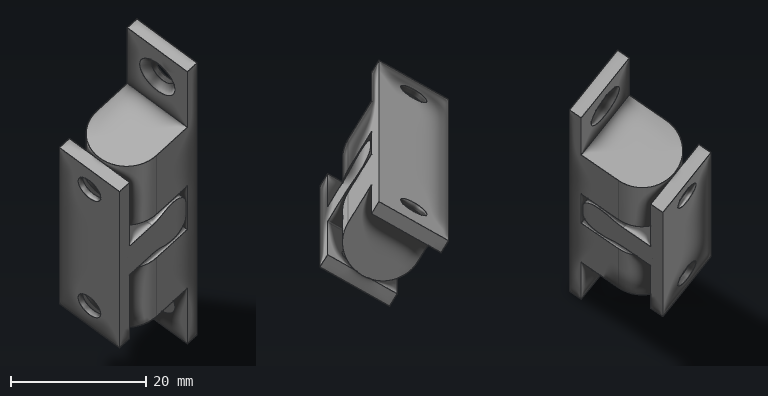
import cadquery as cq
import math

width = 12.0
overall_length = 70.0
overall_depth = 17.2

base_thickness = 2.2
block_front_depth = 15.0
block_inner_height = 5.6
block_outer_height = 20.7
block_round_radius = width / 2
round_center_depth = block_front_depth - block_round_radius

dome_radius = 3.65
dome_rim_radius = 3.15
dome_center_height = block_inner_height + math.sqrt(dome_radius**2 - dome_rim_radius**2)

hole_diameter = 4.5
countersink_diameter = 7.0
countersink_angle = 90.0
base_hole_height = 28.0
strike_hole_height = 15.0

strike_length = 40.2
strike_thickness = overall_depth - block_front_depth
tongue_tip_depth = 2.5
tongue_half_height = 4.725
tongue_corner_radius = 2.9
neck_half_height = 3.675
neck_start_depth = 9.95
root_fillet = 0.2
corner_center_depth = tongue_tip_depth + tongue_corner_radius
corner_center_height = tongue_half_height - tongue_corner_radius


def plate(length, thickness, back_depth):
    """Upright rectangular plate whose back face lies at back_depth."""
    return cq.Workplane("XY").box(width, thickness, length).translate((0, -back_depth - thickness / 2, 0))


def upper_block():
    """Block of constant plan section with a half-round front."""
    half_width = width / 2
    return (
        cq.Workplane("XY")
        .workplane(offset=block_inner_height)
        .moveTo(-half_width, -base_thickness)
        .lineTo(-half_width, -round_center_depth)
        .threePointArc((0, -block_front_depth), (half_width, -round_center_depth))
        .lineTo(half_width, -base_thickness)
        .close()
        .extrude(block_outer_height - block_inner_height)
    )


def dome_sphere(side):
    """Sphere whose exposed cap forms the dome of the upper (1) or lower (-1) block."""
    return cq.Workplane("XY").sphere(dome_radius).translate((0, -round_center_depth, side * dome_center_height))


def front_holes(face_depth, height):
    """Workplane on a front face, with points at both hole centers."""
    return (
        cq.Workplane("XZ", origin=(0, -face_depth, 0))
        .pushPoints([(0, height), (0, -height)])
    )


def countersink(face_depth, height, direction):
    """Cone with its wide end on a face, narrowing toward +Y (1) or -Y (-1)."""
    mouth_radius = countersink_diameter / 2
    cone_height = mouth_radius / math.tan(math.radians(countersink_angle / 2))
    mouth_center = cq.Vector(0, -face_depth, height)
    cone = cq.Solid.makeCone(mouth_radius, 0, cone_height, pnt=mouth_center, dir=cq.Vector(0, direction, 0))
    return cq.Workplane(obj=cone)


def make_base():
    base = plate(overall_length, base_thickness, 0)
    block = upper_block()
    for side, side_block in ((1, block), (-1, block.mirror("XY"))):
        base = base.union(side_block).union(dome_sphere(side))
    bores = front_holes(base_thickness, base_hole_height).circle(hole_diameter / 2).extrude(-base_thickness)
    base = base.cut(bores)
    for side in (1, -1):
        base = base.cut(countersink(base_thickness, side * base_hole_height, 1))
    return base


def make_tongue():
    """Tongue with a rounded tip that narrows smoothly into its neck."""
    diagonal = tongue_corner_radius * math.sqrt(0.5)
    corner_mid_depth = corner_center_depth - diagonal
    corner_mid_height = corner_center_height + diagonal
    return (
        cq.Workplane("YZ")
        .moveTo(-tongue_tip_depth, -corner_center_height)
        .lineTo(-tongue_tip_depth, corner_center_height)
        .threePointArc((-corner_mid_depth, corner_mid_height), (-corner_center_depth, tongue_half_height))
        .spline(
            [(-corner_center_depth, tongue_half_height), (-neck_start_depth, neck_half_height)],
            tangents=[(-1, 0), (-1, 0)],
        )
        .lineTo(-block_front_depth, neck_half_height)
        .lineTo(-block_front_depth, -neck_half_height)
        .lineTo(-neck_start_depth, -neck_half_height)
        .spline(
            [(-neck_start_depth, -neck_half_height), (-corner_center_depth, -tongue_half_height)],
            tangents=[(1, 0), (1, 0)],
        )
        .threePointArc((-corner_mid_depth, -corner_mid_height), (-tongue_tip_depth, -corner_center_height))
        .close()
        .extrude(width / 2, both=True)
    )


def make_strike():
    strike = plate(strike_length, strike_thickness, block_front_depth).union(make_tongue())
    root_edges = cq.selectors.BoxSelector(
        (-width, -block_front_depth - root_fillet, -neck_half_height - root_fillet),
        (width, -block_front_depth + root_fillet, neck_half_height + root_fillet),
    )
    strike = strike.edges("|X").edges(root_edges).fillet(root_fillet)
    bores = front_holes(overall_depth, strike_hole_height).circle(hole_diameter / 2).extrude(-strike_thickness)
    strike = strike.cut(bores)
    for side in (1, -1):
        strike = strike.cut(countersink(block_front_depth, side * strike_hole_height, -1))
    for side in (1, -1):
        strike = strike.cut(dome_sphere(side))
    return strike


base = make_base()
strike = make_strike()
result = cq.Compound.makeCompound([*base.solids().vals(), *strike.solids().vals()])